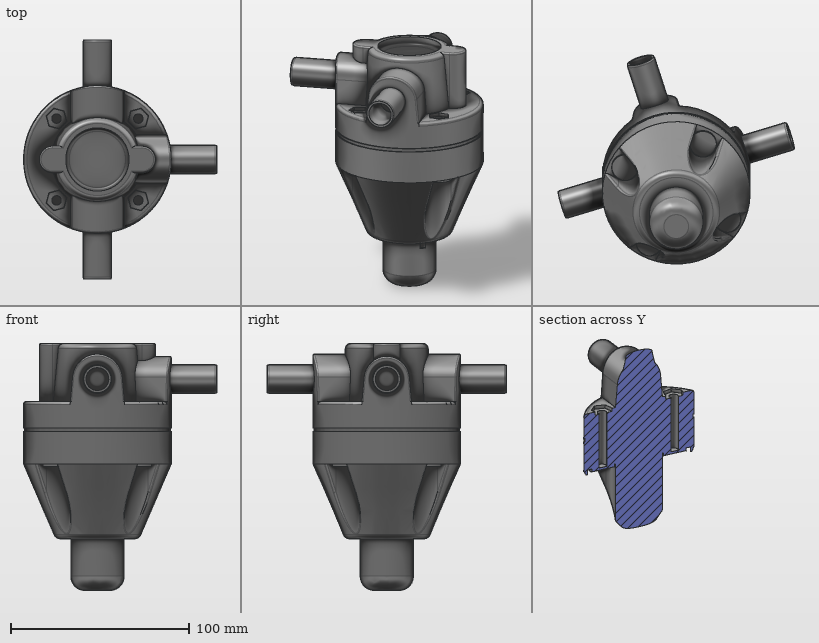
import cadquery as cq
import math

total_height = 138.5
stem_top = 29.0
flange_bottom = 71.0
groove_bottom = 89.0
groove_top = 91.0
deck_height = 106.1
port_height = 118.5

body_radius = 41.4
groove_radius = 40.9
trim_margin = 1.4
cone_tip_radius = 23.3
cone_tip_fillet = 4.0
deck_fillet = 2.0
draft_angle = 5.0

stem_radius = 15.0
stem_fillet = 8.0
notch_radius = 1.7
notch_height = 5.1
notch_angle = 135

tower_top_radius = 23.0
tower_fillet = 3.0
recess_radius = 17.7
recess_depth = 5.0
recess_fillet = 2.0
ear_offset = 25.0
ear_radius = 7.5
ear_fillet = 1.0

port_reach = 67.0
pipe_radius = 8.0
pipe_bore_radius = 6.4
pipe_root = tower_top_radius
pipe_taper_length = 1.1
pipe_taper_depth = 0.35
side_boss_radius = 14.0
end_boss_radius = 12.7
boss_fillet = 1.0
ports = ((0, end_boss_radius), (90, side_boss_radius), (270, side_boss_radius))

bolt_circle_radius = 32.4
bolt_angles = (45, 135, 225, 315)
bolt_hole_radius = 2.6
hex_circumradius = 6.02
hex_depth = 2.0
hex_turn = 30
flute_radius = 7.9
flute_fillet = 1.0
bolt_pad_radius = 7.5
bolt_pad_height = 1.7


def disc(radius, bottom, top):
    """Upright cylinder on the Z axis."""
    return cq.Workplane("XY").workplane(offset=bottom).circle(radius).extrude(top - bottom)


def turn(shape, angle):
    """Rotate a shape about the Z axis."""
    return shape.rotate((0, 0, 0), (0, 0, 1), angle)


def make_cone():
    """Tapered lower housing with four vertical U-shaped flutes under the bolts."""
    cone = (
        cq.Workplane("XZ")
        .moveTo(0, stem_top)
        .lineTo(cone_tip_radius, stem_top)
        .lineTo(body_radius, flange_bottom)
        .lineTo(0, flange_bottom)
        .close()
        .revolve(360, (0, 0, 0), (0, 1, 0))
        .faces("<Z")
        .edges()
        .fillet(cone_tip_fillet)
    )
    flute_height = flange_bottom - stem_top
    flute = (
        cq.Workplane("XY")
        .workplane(offset=stem_top)
        .center(bolt_circle_radius, 0)
        .circle(flute_radius)
        .extrude(flute_height)
        .union(
            cq.Workplane("XY")
            .box(body_radius, 2 * flute_radius, flute_height, centered=(False, True, False))
            .translate((bolt_circle_radius, 0, stem_top))
        )
    )
    for angle in bolt_angles:
        cone = cone.cut(turn(flute, angle))
    return cone.edges("%HYPERBOLA").fillet(flute_fillet)


def make_stem():
    """Bottom spigot with a rounded tip and a small half-round notch next to the cone."""
    stem = disc(stem_radius, 0, stem_top).faces("<Z").edges().fillet(stem_fillet)
    notch = disc(notch_radius, stem_top - notch_height, stem_top)
    notch = notch.translate((stem_radius, 0, 0))
    return stem.cut(notch.rotate((0, 0, 0), (0, 0, 1), notch_angle))


def make_tower():
    """Drafted round tower, its two ears and the recess in its top."""
    tower_height = total_height - deck_height
    base_radius = tower_top_radius + tower_height * math.tan(math.radians(draft_angle))
    tower = (
        cq.Workplane("XY")
        .workplane(offset=deck_height)
        .circle(base_radius)
        .workplane(offset=tower_height)
        .circle(tower_top_radius)
        .loft()
        .faces(">Z")
        .edges()
        .fillet(tower_fillet)
    )
    ears = (
        cq.Workplane("XY")
        .workplane(offset=deck_height)
        .slot2D(2 * (ear_offset + ear_radius), 2 * ear_radius)
        .extrude(tower_height)
        .faces(">Z")
        .edges()
        .fillet(ear_fillet)
    )
    recess = disc(recess_radius, total_height - recess_depth, total_height)
    recess = recess.faces("<Z").edges().fillet(recess_fillet)
    return tower.union(ears).cut(recess)


def make_boss(radius):
    """Round-topped boss with drafted sides along +X, running out past the body."""
    draft = math.radians(draft_angle)
    tangent_y = radius * math.cos(draft)
    tangent_z = port_height + radius * math.sin(draft)
    foot_y = tangent_y + (tangent_z - groove_top) * math.tan(draft)
    return (
        cq.Workplane("YZ")
        .moveTo(-foot_y, groove_top)
        .lineTo(foot_y, groove_top)
        .lineTo(tangent_y, tangent_z)
        .threePointArc((0, port_height + radius), (-tangent_y, tangent_z))
        .close()
        .extrude(body_radius + 2 * trim_margin)
    )


def is_boss_rim(edge):
    """True for edges above the deck that lie on the outer cylinder."""
    on_cylinder = all(
        math.hypot(edge.positionAt(t).x, edge.positionAt(t).y) > groove_radius for t in (0, 0.5, 1)
    )
    return on_cylinder and edge.Center().z > deck_height + deck_fillet


def make_head():
    """Upper flange with three bosses, trimmed to one cylinder, with rounded outer edges."""
    bosses = cq.Workplane("XY")
    for angle, radius in ports:
        bosses = bosses.add(turn(make_boss(radius), angle))
    bosses = bosses.combine()

    head = disc(body_radius + trim_margin, groove_top, deck_height).union(bosses)
    head = head.intersect(disc(body_radius, groove_top, total_height))
    head = head.edges().filter(is_boss_rim).fillet(boss_fillet)

    fillet_center = (body_radius - deck_fillet, deck_height - deck_fillet)
    fillet_middle = (
        fillet_center[0] + deck_fillet * math.sqrt(0.5),
        fillet_center[1] + deck_fillet * math.sqrt(0.5),
    )
    deck_rounding = (
        cq.Workplane("XZ")
        .moveTo(body_radius, fillet_center[1])
        .threePointArc(fillet_middle, (fillet_center[0], deck_height))
        .lineTo(body_radius + trim_margin, deck_height)
        .lineTo(body_radius + trim_margin, fillet_center[1])
        .close()
        .revolve(360, (0, 0, 0), (0, 1, 0))
    )
    return head.cut(deck_rounding.cut(bosses))


def make_pipe():
    """Pipe along +X with a slightly tapered end, bored in to the body's outer radius."""
    return (
        cq.Workplane("XZ")
        .moveTo(pipe_root, 0)
        .lineTo(body_radius, 0)
        .lineTo(body_radius, pipe_bore_radius)
        .lineTo(port_reach, pipe_bore_radius)
        .lineTo(port_reach, pipe_radius - pipe_taper_depth)
        .lineTo(port_reach - pipe_taper_length, pipe_radius)
        .lineTo(pipe_root, pipe_radius)
        .close()
        .revolve(360, (0, 0, 0), (1, 0, 0))
        .translate((0, 0, port_height))
    )


def make_bolt_pad():
    """Round pad under the flange, at the top of a flute."""
    pad = disc(bolt_pad_radius, flange_bottom - bolt_pad_height, flange_bottom)
    return pad.translate((bolt_circle_radius, 0, 0))


def make_bolt_cut():
    """Hole through the flanges with a drafted hexagonal pocket at the deck."""
    hole = disc(bolt_hole_radius, flange_bottom, deck_height)
    hexagon = (
        cq.Workplane("XY")
        .workplane(offset=deck_height)
        .polygon(6, 2 * hex_circumradius)
        .extrude(-hex_depth, taper=draft_angle)
    )
    hexagon = turn(hexagon, hex_turn)
    return hole.union(hexagon).translate((bolt_circle_radius, 0, 0))


lower_flange = disc(body_radius, flange_bottom, groove_bottom)
groove_ring = disc(groove_radius, groove_bottom, groove_top)

result = make_cone().union(make_stem()).union(lower_flange).union(groove_ring)
result = result.union(make_head()).union(make_tower())

for angle, _ in ports:
    result = result.union(turn(make_pipe(), angle))

for angle in bolt_angles:
    result = result.union(turn(make_bolt_pad(), angle))
    result = result.cut(turn(make_bolt_cut(), angle))